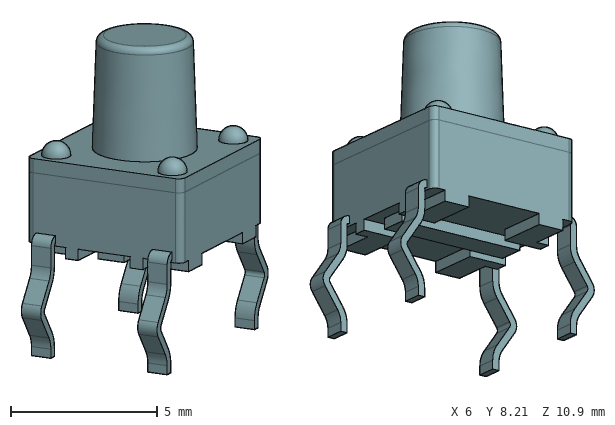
import cadquery as cq
import math


body_side = 6.0
body_top = 3.4
cover_height = 0.5
corner_radius = 0.25
half_side = body_side / 2

foot_height = 0.4
foot_length_x = 2.0
foot_length_y = 1.5
lead_clearance_x = 1.5
lead_clearance_y = 0.5
center_rib_width = 1.0

total_height = 10.9
lead_drop = 3.5
button_top = total_height - lead_drop
button_base_radius = 1.8
button_draft = 2.0
button_edge_radius = 0.25

dome_radius = 0.5

pitch = 4.49

lead_width = 0.75
lead_thickness = 0.27
lead_top = 0.77
lead_embed = 0.11
lead_span = 8.21
shoulder_radius = 0.36
shoulder_drop = 0.7
kink_angle = 35.0
kink_entry_radius = 0.75
kink_tip_radius = 0.45


def make_feet():
    """Four L-shaped corner feet, notched for the leads, and a rib in the middle."""
    notch_x = half_side - lead_clearance_x
    notch_y = half_side - lead_clearance_y
    inner_x = half_side - foot_length_x
    inner_y = half_side - foot_length_y
    feet = cq.Workplane("XY").rect(center_rib_width, 2 * notch_y).extrude(foot_height)
    outline = [
        (half_side, notch_y),
        (notch_x, notch_y),
        (notch_x, half_side),
        (inner_x, half_side),
        (inner_x, inner_y),
        (half_side, inner_y),
    ]
    for side_x in (-1, 1):
        for side_y in (-1, 1):
            corner = [(side_x * x, side_y * y) for x, y in outline]
            feet = feet.add(cq.Workplane("XY").polyline(corner).close().extrude(foot_height))
    return feet.combine()


def rounded_block(bottom, top):
    """Block with the housing outline between two heights."""
    return (
        cq.Workplane("XY", origin=(0, 0, bottom))
        .rect(body_side, body_side)
        .extrude(top - bottom)
        .edges("|Z")
        .fillet(corner_radius)
    )


def make_housing():
    """Case on its feet, with a cover of the same outline; the cover seam is kept."""
    cover_base = body_top - cover_height
    case = rounded_block(foot_height, cover_base).union(make_feet(), clean=True)
    cover = rounded_block(cover_base, body_top)
    return case.union(cover, clean=False)


def make_button():
    """Drafted round button with a rounded top rim."""
    return (
        cq.Workplane("XY", origin=(0, 0, body_top))
        .circle(button_base_radius)
        .extrude(button_top - body_top, taper=button_draft)
        .faces(">Z")
        .edges()
        .fillet(button_edge_radius)
    )


def lead_stretches():
    """Centre line of a lead as (straight length, turn after it, bend radius) steps."""
    half_thickness = lead_thickness / 2
    angle = math.radians(kink_angle)

    tip_reach = lead_span / 2 - half_side - shoulder_radius
    bend_radii = kink_entry_radius + kink_tip_radius
    incline = (tip_reach - bend_radii * (1 - math.cos(angle))) / math.sin(angle)

    kink_height = 2 * (bend_radii * math.sin(angle) + incline * math.cos(angle))
    tail = lead_top + lead_drop - shoulder_radius - shoulder_drop - kink_height

    entry_radius = kink_entry_radius + half_thickness
    return [
        (lead_embed, -90, shoulder_radius - half_thickness),
        (shoulder_drop, kink_angle, entry_radius),
        (incline, -2 * kink_angle, kink_tip_radius - half_thickness),
        (incline, kink_angle, entry_radius),
        (tail, 0, 0),
    ]


def make_lead():
    """One lead on the +Y side, centred on X = 0."""
    y = half_side - lead_embed
    z = lead_top - lead_thickness / 2
    section = cq.Workplane("XZ", origin=(0, y, z)).rect(lead_width, lead_thickness)
    path = cq.Workplane("YZ").moveTo(y, z)
    heading = 0.0
    for length, turn, radius in lead_stretches():
        y += length * math.cos(math.radians(heading))
        z += length * math.sin(math.radians(heading))
        path = path.lineTo(y, z)
        if turn:
            chord = 2 * radius * math.sin(math.radians(abs(turn) / 2))
            direction = math.radians(heading + turn / 2)
            y += chord * math.cos(direction)
            z += chord * math.sin(direction)
            path = path.tangentArcPoint((y, z), relative=False)
            heading += turn
    return section.sweep(path)


result = make_housing()
result = result.union(make_button(), clean=False)

lead = make_lead()
for side_x in (-1, 1):
    for turn in (0, 180):
        placed = lead.rotate((0, 0, 0), (0, 0, 1), turn).translate((side_x * pitch / 2, 0, 0))
        result = result.union(placed, clean=False)
    for side_y in (-1, 1):
        dome_center = (side_x * pitch / 2, side_y * pitch / 2, body_top)
        dome = cq.Workplane("XY", origin=dome_center).sphere(dome_radius)
        result = result.union(dome, clean=False)